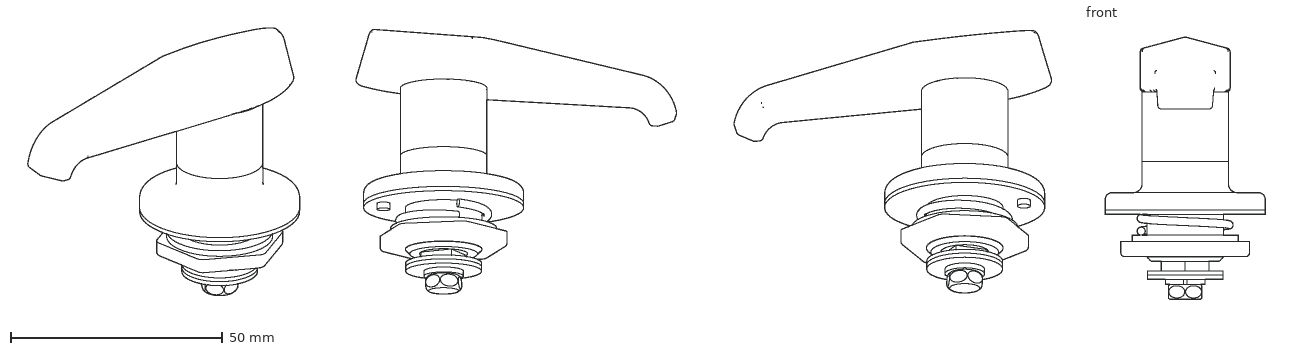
import cadquery as cq
import math


BOLT_HEAD_HEIGHT = 3.6
LOCK_WASHER_TOP = 4.8
PLAIN_WASHER_TOP = 5.8
SQUARE_WASHER_TOP = 6.8
HOUSING_BOTTOM = 9.0
NUT_BOTTOM = 10.1
NUT_HEX_TOP = 13.8
NUT_TOP = 15.2
GASKET_BOTTOM = 20.15
FLANGE_BOTTOM = 21.2
FLANGE_TOP = 25.3
HOUSING_TOP = 32.7
LEVER_BOTTOM = 49.1
LEVER_TOP = 62.2

FLANGE_RADIUS = 38.0 / 2
FLANGE_FILLET = 1.7
BARREL_RADIUS = 10.3
BARREL_FILLET = 2.0
NECK_RADIUS = 9.1
NECK_CHAMFER = 1.0
LOCATING_PIN_RADIUS = 1.5
LOCATING_PIN_OFFSET = 15.05
LOCATING_PIN_BOTTOM = 18.7
NUT_ACROSS_FLATS = 27.0
NUT_CORNER_RADIUS = 2.0
NUT_EDGE_FILLET = 0.95
NUT_COLLAR_RADIUS = 12.6

SPRING_WIRE_RADIUS = 0.95
SPRING_RADIUS = 10.4
SPRING_RISE = GASKET_BOTTOM - NUT_TOP - 2 * SPRING_WIRE_RADIUS

SPINDLE_SQUARE = 8.05
JOURNAL_RADIUS = SPINDLE_SQUARE / math.sqrt(2)
WASHER_RADIUS = 9.0
LOCK_WASHER_RADIUS = 4.7
LOCK_WASHER_SLIT = 0.8
BOLT_RADIUS = 2.5
BOLT_TIP = 15.9
BOLT_ACROSS_FLATS = 8.0
BOLT_HEAD_CROWN_RADIUS = 4.5
BOLT_HEAD_END_RADIUS = 3.6

ROOF_ANGLE = 15.0
BREAK_Y = -9.55
BEND_Y = -47.9
BEND_Z = 56.15
TIP_Y = -58.1
TIP_BOTTOM = 45.1
GRIP_HOLLOW_START = -48.8
GRIP_HOLLOW_RADIUS = 4.85

ARM_ANGLE = 4.3
FLANK_END_X = 10.6
FLANK_END_Y = -0.9
FLANK_RADIUS = 31.45
NOSE_RADIUS = 6.3
HEAD_LEAN_ANGLE = 16.5

LEVER_EDGE_FILLET = 0.95
RIDGE_FILLET = 1.5
RIDGE_ZONE = 0.1
STEEP_WALL_LIMIT = 0.5

SPARE = 8.0


def disc(radius, bottom, top):
    """A cylinder on the turning axis between two heights."""
    return cq.Workplane("XY").workplane(offset=bottom).circle(radius).extrude(top - bottom)


def square_bar(bottom, top):
    """The spindle square, with its corners on the X and Y axes."""
    bar = cq.Workplane("XY").workplane(offset=bottom).rect(SPINDLE_SQUARE, SPINDLE_SQUARE)
    return bar.extrude(top - bottom).rotate((0, 0, 0), (0, 0, 1), 45)


def hexagon(across_flats, bottom, top):
    """A hexagonal prism with two corners on the X axis."""
    corner_diameter = across_flats / math.cos(math.radians(30))
    return cq.Workplane("XY").workplane(offset=bottom).polygon(6, corner_diameter).extrude(top - bottom)


def lever_roof():
    """Two slopes that fall to the left and right of the ridge profile."""
    floor = TIP_BOTTOM - SPARE
    back = FLANK_RADIUS + SPARE
    profile = (
        cq.Workplane("YZ")
        .moveTo(back, LEVER_TOP)
        .lineTo(BREAK_Y, LEVER_TOP)
        .lineTo(BEND_Y, BEND_Z)
        .tangentArcPoint((TIP_Y, TIP_BOTTOM), relative=False)
        .lineTo(TIP_Y, floor)
        .lineTo(back, floor)
        .close()
    )
    half = profile.extrude(FLANK_END_X + SPARE / 2, taper=ROOF_ANGLE)
    return half.union(half.mirror("YZ"))


def lever_outline(plane, shift):
    """Plan outline: rounded nose, bulging flanks and tapering arm, moved along Y by `shift`."""
    arm = math.radians(ARM_ANGLE)
    flank_x = FLANK_END_X - FLANK_RADIUS * math.cos(arm)
    flank_y = FLANK_END_Y + FLANK_RADIUS * math.sin(arm)
    nose_y = flank_y + math.sqrt((FLANK_RADIUS - NOSE_RADIUS) ** 2 - flank_x**2)
    nose_angle = math.atan2(nose_y - flank_y, -flank_x)
    middle_angle = (nose_angle - arm) / 2
    end_y = TIP_Y - SPARE
    end_x = FLANK_END_X - (FLANK_END_Y - end_y) * math.tan(arm)

    def on_flank(angle):
        return flank_x + FLANK_RADIUS * math.cos(angle), flank_y + FLANK_RADIUS * math.sin(angle) + shift

    def mirrored(point):
        return -point[0], point[1]

    flank_end = (FLANK_END_X, FLANK_END_Y + shift)
    flank_middle = on_flank(middle_angle)
    nose_end = on_flank(nose_angle)
    return (
        plane.moveTo(end_x, end_y + shift)
        .lineTo(*flank_end)
        .threePointArc(flank_middle, nose_end)
        .threePointArc((0, nose_y + NOSE_RADIUS + shift), mirrored(nose_end))
        .threePointArc(mirrored(flank_middle), mirrored(flank_end))
        .lineTo(-end_x, end_y + shift)
        .close()
    )


def lever_plan():
    """The plan outline carried up from the tip, leaning toward the arm as it rises."""
    rise = LEVER_TOP - TIP_BOTTOM
    lean = rise * math.tan(math.radians(HEAD_LEAN_ANGLE))
    start_shift = lean * (LEVER_BOTTOM - TIP_BOTTOM) / rise
    lower = lever_outline(cq.Workplane("XY").workplane(offset=TIP_BOTTOM), start_shift)
    return lever_outline(lower.workplane(offset=rise), start_shift - lean).loft(ruled=True)


def lever_underside():
    """The space below the lever: a flat underside that curves down to the tip."""
    drop = LEVER_BOTTOM - TIP_BOTTOM
    hollow_end = GRIP_HOLLOW_START - math.sqrt(GRIP_HOLLOW_RADIUS**2 - (GRIP_HOLLOW_RADIUS - drop) ** 2)
    back = FLANK_RADIUS + SPARE
    space = (
        cq.Workplane("YZ")
        .moveTo(back, LEVER_BOTTOM)
        .lineTo(GRIP_HOLLOW_START, LEVER_BOTTOM)
        .tangentArcPoint((hollow_end, TIP_BOTTOM), relative=False)
        .lineTo(TIP_Y - SPARE, TIP_BOTTOM)
        .lineTo(TIP_Y - SPARE, TIP_BOTTOM - 2 * SPARE)
        .lineTo(back, TIP_BOTTOM - 2 * SPARE)
        .close()
    )
    return space.extrude(2 * FLANK_END_X, both=True)


def ridge_edges(lever):
    """The edges that run along the middle of the roof, from the nose to the tip."""
    half_length = FLANK_RADIUS - TIP_Y
    ridge_zone = cq.selectors.BoxSelector(
        (-RIDGE_ZONE, -half_length, LEVER_BOTTOM + RIDGE_ZONE), (RIDGE_ZONE, half_length, LEVER_TOP + RIDGE_ZONE)
    )
    return lever.edges(ridge_zone)


def rim_edges(lever):
    """The edges around the side walls, without the seams inside them, and those around the tip."""
    steep_walls = [face for face in lever.faces().vals() if abs(face.normalAt().z) < STEEP_WALL_LIMIT]
    wall_edges = [edge for wall in steep_walls for edge in wall.Edges()]
    tip_edges = lever.faces("<Z").edges().vals()

    def is_rim(edge):
        adjoining_walls = sum(edge.isSame(wall_edge) for wall_edge in wall_edges)
        return adjoining_walls == 1 or any(edge.isSame(tip_edge) for tip_edge in tip_edges)

    return [edge for edge in lever.edges().vals() if is_rim(edge)]


def make_lever():
    lever = lever_roof().intersect(lever_plan()).cut(lever_underside())
    lever = ridge_edges(lever).fillet(RIDGE_FILLET)
    return lever.newObject(rim_edges(lever)).fillet(LEVER_EDGE_FILLET)


def make_handle():
    lever = make_lever()
    barrel = disc(BARREL_RADIUS, HOUSING_TOP, LEVER_BOTTOM)
    journal = disc(JOURNAL_RADIUS, HOUSING_BOTTOM, HOUSING_TOP)
    square = square_bar(PLAIN_WASHER_TOP, HOUSING_BOTTOM)
    thread_hole = disc(BOLT_RADIUS, PLAIN_WASHER_TOP, BOLT_TIP)
    return lever.union(barrel).union(journal).union(square).cut(thread_hole)


def locating_pin():
    pin = cq.Workplane("XY").workplane(offset=LOCATING_PIN_BOTTOM).center(0, LOCATING_PIN_OFFSET)
    return pin.circle(LOCATING_PIN_RADIUS).extrude(FLANGE_BOTTOM - LOCATING_PIN_BOTTOM)


def make_housing():
    flange = disc(FLANGE_RADIUS, FLANGE_BOTTOM, FLANGE_TOP).faces(">Z").edges().fillet(FLANGE_FILLET)
    barrel = disc(BARREL_RADIUS, FLANGE_TOP, HOUSING_TOP)
    smallest_circle = cq.selectors.RadiusNthSelector(0)
    body = flange.union(barrel).faces("<Z[-2]").edges(smallest_circle).fillet(BARREL_FILLET)
    neck = disc(NECK_RADIUS, HOUSING_BOTTOM, FLANGE_BOTTOM).faces("<Z").chamfer(NECK_CHAMFER)
    bore = disc(JOURNAL_RADIUS, HOUSING_BOTTOM, HOUSING_TOP)
    return body.union(neck).union(locating_pin()).cut(bore)


def make_gasket():
    ring = disc(FLANGE_RADIUS, GASKET_BOTTOM, FLANGE_BOTTOM)
    return ring.cut(disc(NECK_RADIUS, GASKET_BOTTOM, FLANGE_BOTTOM)).cut(locating_pin())


def make_spring():
    bottom = NUT_TOP + SPRING_WIRE_RADIUS
    helix = cq.Wire.makeHelix(SPRING_RISE, SPRING_RISE, SPRING_RADIUS, lefthand=True)
    wire = cq.Workplane("XZ").center(SPRING_RADIUS, 0).circle(SPRING_WIRE_RADIUS)
    coil = wire.sweep(cq.Workplane(helix), isFrenet=True)
    return coil.rotate((0, 0, 0), (0, 0, 1), 180).translate((0, 0, bottom))


def make_nut():
    hexagon_part = hexagon(NUT_ACROSS_FLATS, NUT_BOTTOM, NUT_HEX_TOP)
    hexagon_part = hexagon_part.edges("|Z").fillet(NUT_CORNER_RADIUS)
    hexagon_part = hexagon_part.faces("<Z").edges().fillet(NUT_EDGE_FILLET)
    collar = disc(NUT_COLLAR_RADIUS, NUT_HEX_TOP, NUT_TOP)
    return hexagon_part.union(collar).cut(disc(NECK_RADIUS, NUT_BOTTOM, NUT_TOP))


def make_square_washer():
    ring = disc(WASHER_RADIUS, PLAIN_WASHER_TOP, SQUARE_WASHER_TOP)
    return ring.cut(square_bar(PLAIN_WASHER_TOP, SQUARE_WASHER_TOP))


def make_plain_washer():
    ring = disc(WASHER_RADIUS, LOCK_WASHER_TOP, PLAIN_WASHER_TOP)
    return ring.cut(disc(BOLT_RADIUS, LOCK_WASHER_TOP, PLAIN_WASHER_TOP))


def make_lock_washer():
    """A ring that is slit through on its -Y side."""
    ring = disc(LOCK_WASHER_RADIUS, BOLT_HEAD_HEIGHT, LOCK_WASHER_TOP)
    ring = ring.cut(disc(BOLT_RADIUS, BOLT_HEAD_HEIGHT, LOCK_WASHER_TOP))
    slit = cq.Workplane("XY").workplane(offset=BOLT_HEAD_HEIGHT).center(0, -LOCK_WASHER_RADIUS / 2)
    slit = slit.rect(LOCK_WASHER_SLIT, LOCK_WASHER_RADIUS).extrude(LOCK_WASHER_TOP - BOLT_HEAD_HEIGHT)
    return ring.cut(slit)


def make_bolt():
    """A bolt with a hexagon head whose corners are rounded off by a barrel-shaped crown."""
    head = hexagon(BOLT_ACROSS_FLATS, 0, BOLT_HEAD_HEIGHT).rotate((0, 0, 0), (0, 0, 1), 90)
    crown = (
        cq.Workplane("XZ")
        .lineTo(BOLT_HEAD_END_RADIUS, 0)
        .threePointArc((BOLT_HEAD_CROWN_RADIUS, BOLT_HEAD_HEIGHT / 2), (BOLT_HEAD_END_RADIUS, BOLT_HEAD_HEIGHT))
        .lineTo(0, BOLT_HEAD_HEIGHT)
        .close()
        .revolve(360, (0, 0, 0), (0, 1, 0))
    )
    return head.intersect(crown).union(disc(BOLT_RADIUS, BOLT_HEAD_HEIGHT, BOLT_TIP))


handle = make_handle()
housing = make_housing()
gasket = make_gasket()
spring = make_spring()
nut = make_nut()
square_washer = make_square_washer()
plain_washer = make_plain_washer()
lock_washer = make_lock_washer()
bolt = make_bolt()

bodies = [handle, housing, gasket, spring, nut, square_washer, plain_washer, lock_washer, bolt]

result = cq.Compound.makeCompound([body.solids().val() for body in bodies])